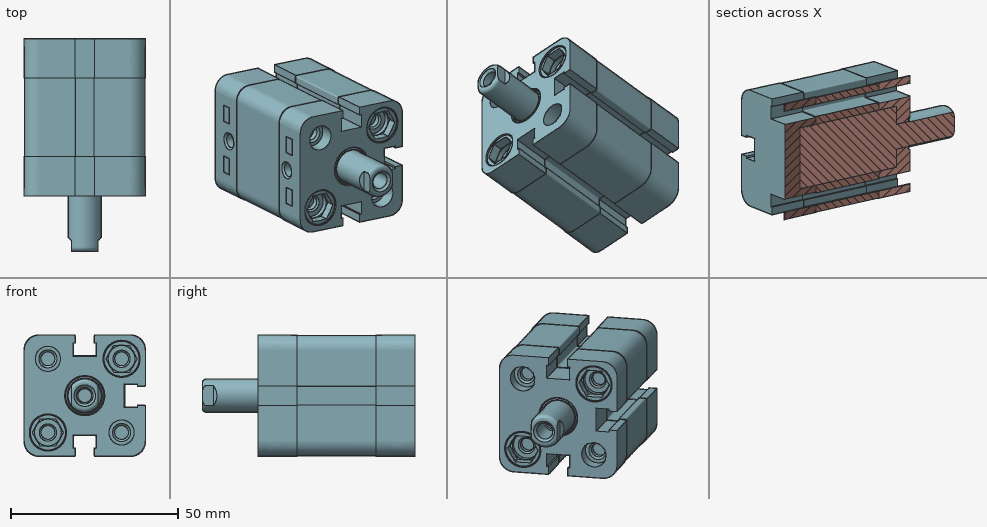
import cadquery as cq
import math


CAP_WIDTH = 36.3
BARREL_WIDTH = 36.0
CORNER_RADIUS = 4.45
CAP_DRAFT = 0.2
CAP_LENGTH = 11.75
BARREL_LENGTH = 23.5
BODY_LENGTH = 2 * CAP_LENGTH + BARREL_LENGTH
REAR_CAP_START = CAP_LENGTH + BARREL_LENGTH

SLOT_FLOOR = 11.75
SLOT_LIP = 15.7
CAP_SLOT_GAP = 5.9
CAP_SLOT_WIDTH = 7.1
BARREL_SLOT_INSET = 0.2
SLOT_CORNER_RADIUS = 0.3
SLOT_EDGE_RADIUS = 0.4
SLOT_DIRECTIONS = (0, 90, -90)

CORNER_PITCH = 22.0
THREAD_BORE = 4.13
THREAD_BORE_END = 7.0
SCREW_SEAT_DIAMETER = 11.1
SCREW_RIM_DIAMETER = 10.48
SCREW_RECESS = 0.3
SCREW_RIM_DEPTH = 0.6
SOCKET_FLATS = 8.1
SOCKET_DEPTH = 2.8
SOCKET_BULGE_DIAMETER = 8.28
SOCKET_RELIEF_DIAMETER = 8.0
SOCKET_RELIEF_DEPTH = 4.4
SCREW_MOUTH_DIAMETER = 5.15
MOUNT_HOLE_DIAMETER = 7.5
MOUNT_HOLE_DEPTH = 4.5
MOUNT_MOUTH_DIAMETER = 5.4

PORT_SETBACK = 7.55
PORT_MOUTH_DIAMETER = 5.3
LABEL_LENGTH = 5.05
LABEL_WIDTH = 3.15
LABEL_HEIGHT = 8.0
LABEL_SETBACK = 6.2
LABEL_DEPTH = 0.15

PISTON_DIAMETER = 20.0
PISTON_FRONT = 5.3
PISTON_REAR_SETBACK = 5.9
PORT_FLOOR = 9.9
ROD_DIAMETER = 10.0
ROD_PROJECTION = 16.6
ROD_FACE_DIAMETER = 7.55
ROD_FLATS = 8.0
ROD_FLAT_LENGTH = 3.35
ROD_THREAD_BORE = 4.92
ROD_THREAD_MOUTH = 6.45
ROD_THREAD_DEPTH = 10.0
ROD_PILOT_BORE = 4.13
ROD_PILOT_DEPTH = 2.0
WIPER_MOUTH_DIAMETER = 12.0
WIPER_GROOVE_DIAMETER = 11.4
WIPER_LIP_DIAMETER = 10.48
WIPER_RECESS = 0.3


def along_y(start, length, outline):
    """Extrude an (x, z) outline, given as a function of a workplane, from y = start toward +Y."""
    plane = cq.Workplane(cq.Plane(origin=(0, start, 0), xDir=(1, 0, 0), normal=(0, -1, 0)))
    return outline(plane).extrude(-length)


def turned(points):
    """Revolve a (radius, y) outline around the Y axis."""
    return cq.Workplane("XY").polyline(points).close().revolve(360, (0, 0, 0), (0, 1, 0))


def tapered_bore(start, mouth, bore, depth):
    """A bore from y = start with a 45 degree countersunk mouth."""
    countersink = (mouth - bore) / 2
    return turned([
        (0, start),
        (mouth / 2, start),
        (bore / 2, start + countersink),
        (bore / 2, start + depth),
        (0, start + depth),
    ])


def slot_cutter(start, length, gap, width, floor, floor_radius):
    """One T-slot opening toward +X."""
    throat_depth = CAP_WIDTH - 2 * floor
    throat = along_y(start, length, lambda p: p.center(CAP_WIDTH / 2, 0).rect(throat_depth, gap))
    wide_middle = (floor + SLOT_LIP) / 2
    wide = along_y(start, length, lambda p: p.center(wide_middle, 0).rect(SLOT_LIP - floor, width))
    if floor_radius:
        wide = wide.edges("|Y and <X").fillet(floor_radius)
    return throat.union(wide)


def turn_to(shape, angle):
    """Swing a shape around the Y axis from +X toward +Z."""
    return shape.rotate((0, 0, 0), (0, 1, 0), -angle)


def body_section(start, length, side):
    """Square bar with rounded corners."""
    return along_y(start, length, lambda p: p.rect(side, side)).edges("|Y").fillet(CORNER_RADIUS)


def cap_outer():
    """Drafted cap block with its wide outer face at y = 0."""
    section = cq.Sketch().rect(CAP_WIDTH, CAP_WIDTH).vertices().fillet(CORNER_RADIUS)
    block = cq.Workplane("XY").placeSketch(section).extrude(CAP_LENGTH, taper=CAP_DRAFT)
    return block.rotate((0, 0, 0), (1, 0, 0), -90)


def cap_blank(outer, start):
    """Cut the T-slots through a cap block that begins at y = start."""
    slot = slot_cutter(start, CAP_LENGTH, CAP_SLOT_GAP, CAP_SLOT_WIDTH, SLOT_FLOOR, 0)
    for angle in SLOT_DIRECTIONS:
        outer = outer.cut(turn_to(slot, angle))
    return outer


def port_cutter(y):
    """Countersunk air port running in from the -X side to its flat floor."""
    depth = CAP_WIDTH / 2 - PORT_FLOOR
    bore = tapered_bore(0, PORT_MOUTH_DIAMETER, THREAD_BORE, depth)
    return bore.rotate((0, 0, 0), (0, 0, 1), -90).translate((-CAP_WIDTH / 2, y, 0))


def label_cutter(y):
    """Two shallow label recesses, above and below the axis on the -X side."""
    return (
        cq.Workplane("YZ", origin=(-CAP_WIDTH / 2, y, 0))
        .pushPoints([(0, LABEL_HEIGHT), (0, -LABEL_HEIGHT)])
        .rect(LABEL_WIDTH, LABEL_LENGTH)
        .extrude(LABEL_DEPTH)
    )


def screw_cutter():
    """Recessed face, bevelled rim, hexagon socket and threaded bore of a corner screw."""
    rim = turned([
        (0, 0),
        (SCREW_SEAT_DIAMETER / 2, 0),
        (SCREW_SEAT_DIAMETER / 2, SCREW_RIM_DEPTH),
        (SCREW_RIM_DIAMETER / 2, SCREW_RECESS),
        (0, SCREW_RECESS),
    ])
    across_corners = SOCKET_FLATS / math.cos(math.pi / 6)
    socket = along_y(SCREW_RECESS, SOCKET_DEPTH, lambda p: p.polygon(6, across_corners))
    bulge = along_y(SCREW_RECESS, SOCKET_DEPTH, lambda p: p.circle(SOCKET_BULGE_DIAMETER / 2))
    relief = along_y(SCREW_RECESS, SOCKET_RELIEF_DEPTH, lambda p: p.circle(SOCKET_RELIEF_DIAMETER / 2))
    floor = SCREW_RECESS + SOCKET_RELIEF_DEPTH
    thread = tapered_bore(floor, SCREW_MOUTH_DIAMETER, THREAD_BORE, THREAD_BORE_END - floor)
    return rim.union(socket).union(bulge).union(relief).union(thread)


def mount_hole_cutter():
    """Plain mounting hole with a smaller threaded bore at its bottom."""
    hole = along_y(0, MOUNT_HOLE_DEPTH, lambda p: p.circle(MOUNT_HOLE_DIAMETER / 2))
    thread_depth = THREAD_BORE_END - MOUNT_HOLE_DEPTH
    thread = tapered_bore(MOUNT_HOLE_DEPTH, MOUNT_MOUTH_DIAMETER, THREAD_BORE, thread_depth)
    return hole.union(thread)


def wiper_groove_cutter():
    """Recess around the rod: countersunk mouth, then a groove behind a raised conical lip."""
    groove_end = WIPER_RECESS + (WIPER_GROOVE_DIAMETER - WIPER_LIP_DIAMETER) / 2
    return turned([
        (0, 0),
        (WIPER_MOUTH_DIAMETER / 2, 0),
        (WIPER_GROOVE_DIAMETER / 2, (WIPER_MOUTH_DIAMETER - WIPER_GROOVE_DIAMETER) / 2),
        (WIPER_GROOVE_DIAMETER / 2, groove_end),
        (WIPER_LIP_DIAMETER / 2, WIPER_RECESS),
        (0, WIPER_RECESS),
    ])


def piston_bore():
    """Cylinder shared by the piston and the bore it fills."""
    length = BODY_LENGTH - PISTON_FRONT - PISTON_REAR_SETBACK
    return along_y(PISTON_FRONT, length, lambda p: p.circle(PISTON_DIAMETER / 2))


def make_front_cap():
    cap = cap_blank(cap_outer(), 0)
    offset = CORNER_PITCH / 2
    for side in (1, -1):
        cap = cap.cut(screw_cutter().translate((side * offset, 0, side * offset)))
        cap = cap.cut(mount_hole_cutter().translate((side * offset, 0, -side * offset)))
    cap = cap.cut(port_cutter(PORT_SETBACK))
    cap = cap.cut(label_cutter(LABEL_SETBACK))
    cap = cap.cut(along_y(0, CAP_LENGTH, lambda p: p.circle(ROD_DIAMETER / 2)))
    return cap.cut(wiper_groove_cutter()).cut(piston_bore())


def round_slot_edges(barrel):
    """Round the two outer edges of each slot of the barrel."""
    half_gap = CAP_SLOT_GAP / 2 - BARREL_SLOT_INSET
    outer = BARREL_WIDTH / 2
    middle = CAP_LENGTH + BARREL_LENGTH / 2
    for angle in SLOT_DIRECTIONS:
        for across in (half_gap, -half_gap):
            corner = turn_to(cq.Workplane(cq.Vertex.makeVertex(outer, middle, across)), angle)
            edge = barrel.edges(cq.NearestToPointSelector(corner.val().toTuple()))
            barrel = edge.fillet(SLOT_EDGE_RADIUS)
    return barrel


def make_barrel():
    barrel = body_section(CAP_LENGTH, BARREL_LENGTH, BARREL_WIDTH)
    slot = slot_cutter(
        CAP_LENGTH,
        BARREL_LENGTH,
        CAP_SLOT_GAP - 2 * BARREL_SLOT_INSET,
        CAP_SLOT_WIDTH - 2 * BARREL_SLOT_INSET,
        SLOT_FLOOR + BARREL_SLOT_INSET,
        SLOT_CORNER_RADIUS,
    )
    for angle in SLOT_DIRECTIONS:
        barrel = barrel.cut(turn_to(slot, angle))
    return round_slot_edges(barrel).cut(piston_bore())


def make_rear_cap():
    outer = cap_outer().mirror("XZ").translate((0, BODY_LENGTH, 0))
    cap = cap_blank(outer, REAR_CAP_START)
    cap = cap.cut(port_cutter(BODY_LENGTH - PORT_SETBACK))
    return cap.cut(label_cutter(BODY_LENGTH - LABEL_SETBACK)).cut(piston_bore())


def make_rod():
    """Piston and rod in one, with wrench flats and a threaded bore in the rod end."""
    rod = along_y(-ROD_PROJECTION, ROD_PROJECTION + PISTON_FRONT, lambda p: p.circle(ROD_DIAMETER / 2))
    rod = rod.faces("<Y").edges().fillet((ROD_DIAMETER - ROD_FACE_DIAMETER) / 2)
    flat_end = -ROD_PROJECTION + ROD_FLAT_LENGTH
    step = (ROD_DIAMETER - ROD_FLATS) / 2
    flat = (
        cq.Workplane("XY", origin=(0, 0, -ROD_DIAMETER / 2))
        .moveTo(ROD_FLATS / 2, -ROD_PROJECTION)
        .lineTo(ROD_FLATS / 2, flat_end)
        .lineTo(ROD_DIAMETER / 2, flat_end + step)
        .lineTo(ROD_DIAMETER / 2, -ROD_PROJECTION)
        .close()
        .extrude(ROD_DIAMETER)
    )
    rod = rod.cut(flat).cut(flat.mirror("YZ"))
    rod = rod.cut(tapered_bore(-ROD_PROJECTION, ROD_THREAD_MOUTH, ROD_THREAD_BORE, ROD_THREAD_DEPTH))
    thread_end = -ROD_PROJECTION + ROD_THREAD_DEPTH
    rod = rod.cut(tapered_bore(thread_end, ROD_THREAD_BORE, ROD_PILOT_BORE, ROD_PILOT_DEPTH))
    return rod.union(piston_bore())


front_cap = make_front_cap()
barrel = make_barrel()
rear_cap = make_rear_cap()
rod = make_rod()

result = cq.Compound.makeCompound([front_cap.val(), barrel.val(), rear_cap.val(), rod.val()])